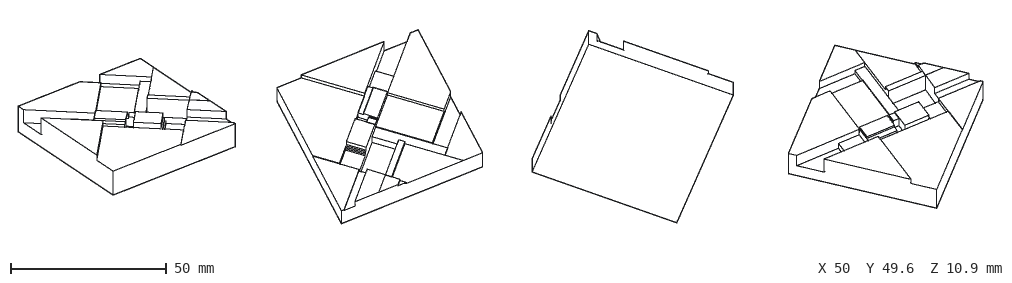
import cadquery as cq
import math

LENGTH = 50.0
WIDTH = 49.6
HEIGHT = 10.95

GRID_ANGLE = 47.0
FAR = 40.0

CHANNEL_RIGHT = -7.4
CHANNEL_LEFT = -0.7
CHANNEL_END = 19.0

HALL_LEFT = 8.3
HALL_FLOOR = 3.9


def block(u_start, u_end, v_right, v_left, height, u_start_shift=0.0, u_end_shift=0.0):
    """Upright block on the grid; a shift skews that end, moving its left corner along u."""
    outline = [
        (u_start, v_right),
        (u_end, v_right),
        (u_end + u_end_shift, v_left),
        (u_start + u_start_shift, v_left),
    ]
    return cq.Workplane("XY").polyline(outline).close().extrude(height)


def left_field():
    """Blocks left of the channel, up to the deep hall and the back row."""
    corner_slab_end = -10.1
    terrace_start = 2.05
    terrace_end = 5.75
    slab_end = 20.0
    strip_left = 10.4
    trench_right = 18.45
    trench_left = 23.75
    gap_left = trench_left + 0.15
    corner_slab_top = 9.65
    lower_slab_top = 8.15
    trench_floor = 6.2
    terrace_top = 7.7
    gap_floor = 4.55
    outer_corner_top = 9.4
    far_slab_top = 9.35
    strip_top = 10.75
    return [
        block(-FAR, corner_slab_end, CHANNEL_LEFT, trench_right, corner_slab_top),
        block(corner_slab_end, terrace_start, CHANNEL_LEFT, trench_right, lower_slab_top),
        block(-FAR, terrace_start, trench_right, trench_left, trench_floor),
        block(terrace_start, terrace_end, CHANNEL_LEFT, trench_left, terrace_top),
        block(-FAR, terrace_end, trench_left, gap_left, gap_floor),
        block(-FAR, terrace_end, gap_left, FAR, outer_corner_top),
        block(terrace_end, slab_end, strip_left, FAR, far_slab_top),
        block(terrace_end, slab_end, HALL_LEFT, strip_left, strip_top),
    ]


def back_row():
    """Blocks behind the deep hall, with a front face slightly skewed to the grid."""
    front_start = 19.2
    skew = math.tan(math.radians(1.2))
    ledge_left = 2.1
    slab_left = 13.25
    row = [
        (CHANNEL_LEFT, ledge_left, 8.15),
        (ledge_left, HALL_LEFT, HEIGHT),
        (HALL_LEFT, slab_left, 10.9),
        (slab_left, FAR, 10.1),
    ]
    blocks = []
    for right, left, height in row:
        front = front_start + skew * (right - CHANNEL_LEFT)
        shift = skew * (left - right)
        blocks.append(block(front, FAR, right, left, height, u_start_shift=shift))
    return blocks


def right_field():
    """Raised slab, lower slab and back corner slab on the right of the channel."""
    raised_end = -6.95
    lower_top = 9.0
    back_corner_top = 8.65
    return [
        block(-FAR, raised_end, -FAR, CHANNEL_RIGHT, HEIGHT),
        block(raised_end, CHANNEL_END, -FAR, CHANNEL_RIGHT, lower_top),
        block(CHANNEL_END, FAR, -FAR, CHANNEL_LEFT, back_corner_top),
    ]


def channel_block(u_start, u_end, height, u_end_shift=0.0):
    """Block that fills the full width of the channel."""
    return block(u_start, u_end, CHANNEL_RIGHT, CHANNEL_LEFT, height, u_end_shift=u_end_shift)


def channel():
    """Steps along the channel, from its open end towards +X +Y."""
    entry_end = -17.85
    entry_floor = 4.75
    floor = 7.05
    shelf_start = -10.2
    shelf_end = 0.0
    shelf_skew = 0.3
    shelf_top = 9.9
    pad_start = -10.05
    pad_right = -5.55
    pad_top = 10.65
    pad_share = (CHANNEL_LEFT - pad_right) / (CHANNEL_LEFT - CHANNEL_RIGHT)
    pad_skew = shelf_skew * pad_share
    pad_end = shelf_end + shelf_skew - pad_skew
    button_start = 0.85
    button_right = -3.55
    button_top = 10.5
    bridge_start = 2.85
    bridge_end = 11.75
    stair_length = 0.5
    stair_tops = [9.0, 8.0]

    blocks = [
        channel_block(-FAR, entry_end, entry_floor),
        channel_block(entry_end, CHANNEL_END, floor),
        channel_block(shelf_start, shelf_end, shelf_top, u_end_shift=shelf_skew),
        block(pad_start, pad_end, pad_right, CHANNEL_LEFT, pad_top, u_end_shift=pad_skew),
        block(shelf_end, button_start, button_right, CHANNEL_LEFT, shelf_top),
        block(button_start, bridge_start, button_right, CHANNEL_LEFT, button_top),
        channel_block(bridge_start, bridge_end, HEIGHT),
    ]
    for index, stair_top in enumerate(stair_tops):
        stair_start = bridge_end + index * stair_length
        blocks.append(channel_block(stair_start, stair_start + stair_length, stair_top))
    return blocks


terrain = block(-FAR, FAR, -FAR, FAR, HALL_FLOOR)
for step in left_field() + back_row() + right_field() + channel():
    terrain = terrain.union(step)
terrain = terrain.rotate((0, 0, 0), (0, 0, 1), GRID_ANGLE)

plate = cq.Workplane("XY").box(LENGTH, WIDTH, HEIGHT, centered=(True, True, False))
result = plate.intersect(terrain)